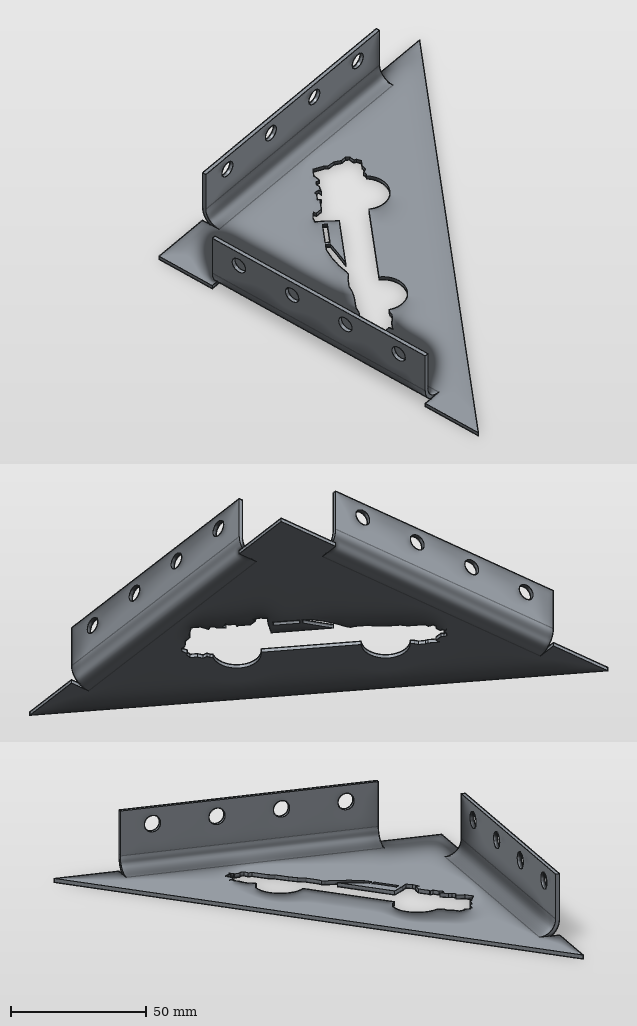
import cadquery as cq
import math


inch = 25.4
leg_length = 152.43
sheet_thickness = inch / 16
bend_inner_radius = 0.25 * inch
bend_outer_radius = bend_inner_radius + sheet_thickness

flange_height = inch
flange_length = 4 * inch
flange_start = (leg_length - flange_length) / 2
flange_hole_count = 4
flange_hole_pitch = flange_length / flange_hole_count
flange_hole_diameter = 0.25 * inch
flange_hole_height = flange_height - 0.25 * inch

wheel_radius = 9.1
rear_wheel = (-26.9, 79.4)
front_wheel = (28.5, 80.3)
floor_out = 79.8
rear_axle_edge = (-36.0, 80.8)
front_axle_edge = (37.5, 81.6)

window_out = 68.3
slit_inner_out = 61.9
slit_outer_out = 63.7
slit_start = -11.2
slit_end = -1.3
canopy_start = -0.2
window_rear = -12.6
window_front = 10.7

front_wing = [
    (39.0, 81.8),
    (40.5, 82.5),
    (43.0, 82.4),
    (44.0, 82.0),
    (48.3, 82.0),
    (47.2, 80.7),
    (49.4, 78.7),
    (50.4, 78.9),
    (51.6, 78.3),
    (51.5, 76.7),
    (50.8, 76.0),
    (52.0, 74.6),
    (51.0, 75.0),
    (50.2, 74.4),
    (49.6, 75.0),
    (48.2, 73.2),
    (48.5, 72.4),
    (47.5, 71.2),
    (45.5, 71.7),
    (44.5, 70.6),
]
nose = [
    (38.0, 70.5),
    (35.5, 69.7),
    (30.0, 69.6),
    (26.5, 69.2),
    (23.5, 68.3),
    (18.3, 68.3),
    (17.0, 68.7),
    (15.8, 68.3),
]
driver_and_engine_cover = [
    (-13.0, 62.3),
    (-12.9, 59.2),
    (-15.5, 58.7),
    (-18.2, 59.2),
    (-17.4, 60.2),
    (-19.6, 62.4),
    (-24.0, 62.3),
    (-24.6, 62.8),
    (-25.0, 61.4),
    (-27.5, 61.4),
    (-28.7, 60.8),
    (-30.0, 62.4),
    (-28.7, 63.3),
    (-32.0, 62.8),
    (-33.0, 61.9),
    (-34.5, 61.9),
    (-35.3, 63.2),
    (-38.0, 61.4),
]
rear_wing = [
    (-41.5, 61.4),
    (-42.9, 66.0),
    (-42.7, 67.2),
    (-44.7, 69.5),
    (-45.2, 72.4),
    (-46.8, 74.0),
    (-46.8, 75.5),
    (-45.0, 77.0),
    (-45.3, 78.0),
    (-44.3, 79.7),
    (-41.6, 79.7),
    (-39.6, 80.7),
    (-38.0, 79.8),
    (-37.0, 80.7),
]
canopy_outer_bulge = (8.0, 63.8)
canopy_rear = (3.0, 62.0)
window_bulge = (5.0, 66.0)

diagonal_frame = cq.Plane(
    origin=(0, 0, 0),
    xDir=(math.sqrt(0.5), -math.sqrt(0.5), 0),
    normal=(0, 0, 1),
)


def make_plate():
    corners = [(0, 0), (leg_length, 0), (0, leg_length)]
    return cq.Workplane("XY").polyline(corners).close().extrude(sheet_thickness)


def make_bend_clearance():
    """Strip of flat sheet along the X leg that the bend replaces."""
    return cq.Workplane("XY").box(
        flange_length, bend_outer_radius, sheet_thickness, centered=False
    ).translate((flange_start, 0, 0))


def make_flange():
    """Bend and upright flange along the X leg, with its row of holes."""
    bend_center = bend_outer_radius
    outer_mid = bend_center - bend_outer_radius * math.sqrt(0.5)
    inner_mid = bend_center - bend_inner_radius * math.sqrt(0.5)
    profile = (
        cq.Workplane("YZ", origin=(flange_start, 0, 0))
        .moveTo(bend_center, 0)
        .threePointArc((outer_mid, outer_mid), (0, bend_center))
        .lineTo(0, flange_height)
        .lineTo(sheet_thickness, flange_height)
        .lineTo(sheet_thickness, bend_center)
        .threePointArc((inner_mid, inner_mid), (bend_center, sheet_thickness))
        .close()
    )
    flange = profile.extrude(flange_length)

    first_hole = flange_start + flange_hole_pitch / 2
    hole_places = [
        (first_hole + i * flange_hole_pitch, flange_hole_height)
        for i in range(flange_hole_count)
    ]
    holes = (
        cq.Workplane("XZ")
        .pushPoints(hole_places)
        .circle(flange_hole_diameter / 2)
        .extrude(-sheet_thickness)
    )
    return flange.cut(holes)


def mirror_to_other_leg(body):
    """Swap X and Y, carrying a body from the X leg to the Y leg."""
    return body.mirror(cq.Vector(1, -1, 0))


def make_car_body():
    """Car silhouette without its wheels, outlined clockwise from the rear axle."""
    wheel_side = [
        rear_axle_edge,
        (rear_wheel[0], floor_out),
        (front_wheel[0], floor_out),
        front_axle_edge,
    ]
    body = (
        cq.Workplane(diagonal_frame)
        .polyline(wheel_side + front_wing + nose)
        .threePointArc(canopy_outer_bulge, canopy_rear)
        .lineTo(canopy_start, slit_inner_out)
        .lineTo(canopy_start, slit_outer_out)
        .threePointArc(window_bulge, (window_front, window_out))
        .lineTo(window_rear, window_out)
    )
    for point in driver_and_engine_cover + rear_wing:
        body = body.lineTo(*point)
    return body.close().extrude(sheet_thickness)


def make_wheels():
    """Round wheels that stand out of the silhouette towards the hypotenuse."""
    return (
        cq.Workplane(diagonal_frame)
        .pushPoints([rear_wheel, front_wheel])
        .circle(wheel_radius)
        .extrude(sheet_thickness)
    )


def make_slit():
    """Straight slot along the inner edge of the windscreen island."""
    return cq.Workplane(diagonal_frame).box(
        slit_end - slit_start,
        slit_outer_out - slit_inner_out,
        sheet_thickness,
        centered=False,
    ).translate(diagonal_frame.toWorldCoords((slit_start, slit_inner_out, 0)))


flange = make_flange()
bend_clearance = make_bend_clearance()

result = (
    make_plate()
    .cut(bend_clearance)
    .cut(mirror_to_other_leg(bend_clearance))
    .union(flange)
    .union(mirror_to_other_leg(flange))
    .cut(make_car_body())
    .cut(make_wheels())
    .cut(make_slit())
)